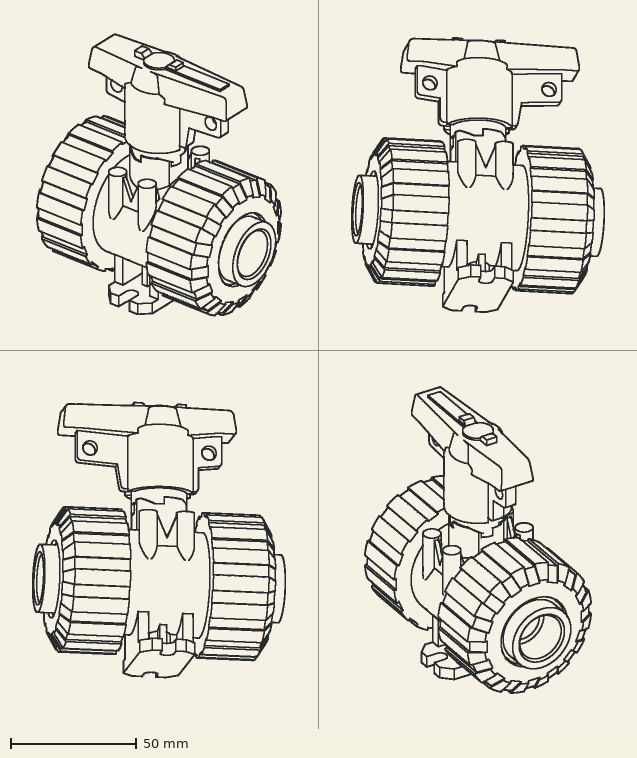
import cadquery as cq
import math


NUT_INNER_X = 16.8
NUT_FACE_X = 43.0
NUT_RADIUS = 29.0
NUT_BEVEL_LENGTH = 3.7
NUT_BEVEL_DEPTH = 5.8
NUT_LIP = 4.2
NUT_HOLE_RADIUS = 15.5
GRIP_COUNT = 16
GRIP_WIDTH = 5.0
GRIP_DEPTH = 1.2

PIPE_END_X = 48.7
PIPE_RADIUS = 13.6
COLLAR_RADIUS = 15.2
COLLAR_RECESS = 1.6
FLANGE_THICKNESS = 4.2
SOCKET_RADIUS = 9.7
SOCKET_CHAMFER = 1.0
BORE_RADIUS = 7.5

LIP_X = NUT_FACE_X - NUT_LIP
BODY_END_X = LIP_X - FLANGE_THICKNESS

BODY_RADIUS = 21.0
NECK_RADIUS = 11.7
NECK_HALF_FLAT = 10.1
TOOTH_TOP_Z = 32.8
TOOTH_ROOT_Z = 29.9
TOOTH_ROOT_LENGTH = 3.5
TOOTH_RAMP_END = 8.8
TOOTH_COUNT = 4

POST_X = 7.5
POST_Y = 16.9
POST_RADIUS = 3.6
POST_TOP_Z = 25.1
WALL_THICKNESS = 1.9
NOTCH_BOTTOM_Z = 14.4
NOTCH_HALF_WIDTH = 4.5
GUSSET_REACH = 5.9
GUSSET_LEAN = 20.0
GUSSET_TOP_Z = 23.4

BASE_Z = -32.9
FOOT_THICKNESS = 4.9
FOOT_HALF_Y = 22.2
FOOT_HALF_X = 11.1
FOOT_CHAMFER = 4.2
BOLT_SLOT_RADIUS = 2.8
BOLT_SLOT_Y = 17.5
LEG_THICKNESS = 4.2
LEG_HALF_Y = 14.3
BOSS_RADIUS = 4.5
RIB_WIDTH = 2.8
RIB_HALF_Y = 9.0

STEM_RADIUS = 11.1
STEM_TAB_Z = 28.5
STEM_STEP_Z = 31.9
STEM_TOP_Z = 48.6
SLEEVE_RADIUS = 13.6
SLEEVE_BOTTOM_Z = 36.5
SLEEVE_SHOULDER_Z = 60.0
SLEEVE_SLOT_WIDTH = 6.6
SHOULDER_TOP_RADIUS = 12.7
SHOULDER_TOP_Z = 61.8
DOME_BASE_RADIUS = 11.5
DOME_BASE_Z = 62.5
DOME_TOP_RADIUS = 9.9
DOME_ROUND = 1.5

BAR_LEFT_X = -29.9
BAR_RIGHT_X = 39.8
BAR_END_SLACK = 0.5
BAR_TOP_Z = 70.7
BAR_END_Z = 60.7
BAR_BOTTOM_Z = 59.1
BAR_LEFT_HALF_Y = 7.9
BAR_MIDDLE_HALF_Y = 9.9
BAR_RIGHT_HALF_Y = 7.0
BAR_DRAFT = 8.0
BAR_LEFT_ROUND = 2.2
BAR_RIGHT_ROUND = 1.6
BAR_LOW_ROUND = 1.0
BAR_HUB_HALF_X = 10.5
BAR_FLAT_LEFT_X = -22.8

WEB_WIDTH = 4.8
WEB_LEFT_X = -25.1
WEB_RIGHT_X = 33.5
WEB_LOW_Z = 37.7
WEB_LEG_X = 15.6
WEB_LEG_RIGHT_X = 17.3
WEB_INNER_Z = 47.7
WEB_OUTER_Z = 48.7
WEB_ROUND = 1.6
EYE_RADIUS = 2.9
EYE_INSET = 5.2
EYE_Z = 53.8

CAP_RADIUS = 6.2
CAP_TOP_Z = 71.6
LUG_TOP_Z = 73.3
LUG_TOP_INNER_X = 7.1
LUG_INNER_X = 5.4
STRIP_WIDTH = 5.7


def x_cylinder(radius, x_start, x_end):
    return cq.Workplane("YZ").workplane(offset=x_start).circle(radius).extrude(x_end - x_start)


def z_cylinder(radius, z_bottom, z_top, x=0, y=0):
    return cq.Workplane("XY").workplane(offset=z_bottom).center(x, y).circle(radius).extrude(z_top - z_bottom)


def block(x_range, y_range, z_range):
    size = [end - start for start, end in (x_range, y_range, z_range)]
    corner = (x_range[0], y_range[0], z_range[0])
    return cq.Workplane("XY").box(*size, centered=False).translate(corner)


def plate_along_y(points, width):
    return cq.Workplane("XZ").polyline(points).close().extrude(width / 2, both=True)


def make_nut():
    """Union nut on the +X end: bevelled ring with flat-bottomed grip grooves."""
    bevel_x = NUT_FACE_X - NUT_BEVEL_LENGTH
    face_radius = NUT_RADIUS - NUT_BEVEL_DEPTH
    profile = [
        (NUT_INNER_X, BODY_RADIUS), (NUT_INNER_X, NUT_RADIUS), (bevel_x, NUT_RADIUS),
        (NUT_FACE_X, face_radius), (NUT_FACE_X, NUT_HOLE_RADIUS),
        (LIP_X, NUT_HOLE_RADIUS), (LIP_X, BODY_RADIUS),
    ]
    nut = cq.Workplane("XZ").polyline(profile).close().revolve(360, (0, 0, 0), (1, 0, 0))
    outside = NUT_RADIUS + GRIP_DEPTH
    groove_profile = [
        (NUT_INNER_X, outside), (NUT_INNER_X, NUT_RADIUS - GRIP_DEPTH),
        (bevel_x, NUT_RADIUS - GRIP_DEPTH), (NUT_FACE_X, face_radius - GRIP_DEPTH),
        (NUT_FACE_X, outside),
    ]
    groove = plate_along_y(groove_profile, GRIP_WIDTH)
    for i in range(GRIP_COUNT):
        nut = nut.cut(groove.rotate((0, 0, 0), (1, 0, 0), i * 360 / GRIP_COUNT))
    return nut


def make_connector():
    """Pipe connector on the +X end: flange held by the nut lip, bored through as a pipe socket."""
    collar_x = NUT_FACE_X - COLLAR_RECESS
    profile = [
        (BODY_END_X, SOCKET_RADIUS), (BODY_END_X, BODY_RADIUS), (LIP_X, BODY_RADIUS),
        (LIP_X, COLLAR_RADIUS), (collar_x, COLLAR_RADIUS), (collar_x, PIPE_RADIUS),
        (PIPE_END_X, PIPE_RADIUS), (PIPE_END_X, SOCKET_RADIUS + SOCKET_CHAMFER),
        (PIPE_END_X - SOCKET_CHAMFER, SOCKET_RADIUS),
    ]
    return cq.Workplane("XZ").polyline(profile).close().revolve(360, (0, 0, 0), (1, 0, 0))


def make_neck():
    """Flat-sided neck whose top edge is a ring of stop teeth."""
    neck = z_cylinder(NECK_RADIUS, 0, TOOTH_TOP_Z)
    tooth_gap = (
        cq.Workplane("XZ")
        .polyline([(0, TOOTH_TOP_Z), (0, TOOTH_ROOT_Z), (-TOOTH_ROOT_LENGTH, TOOTH_ROOT_Z),
                   (-TOOTH_RAMP_END, TOOTH_TOP_Z)])
        .close()
        .extrude(NECK_RADIUS)
    )
    for i in range(TOOTH_COUNT):
        neck = neck.cut(tooth_gap.rotate((0, 0, 0), (0, 0, 1), i * 360 / TOOTH_COUNT))
    flats = block((-NECK_HALF_FLAT, NECK_HALF_FLAT), (-NECK_RADIUS, NECK_RADIUS), (0, TOOTH_TOP_Z))
    return neck.intersect(flats)


def make_post_group():
    """Two posts on the -Y side, the notched wall between them and their gussets."""
    group = block(
        (-POST_X, POST_X),
        (-POST_Y - WALL_THICKNESS / 2, -POST_Y + WALL_THICKNESS / 2),
        (0, POST_TOP_Z),
    )
    notch_side = [(-NOTCH_HALF_WIDTH, POST_TOP_Z), (0, NOTCH_BOTTOM_Z), (NOTCH_HALF_WIDTH, POST_TOP_Z)]
    group = group.cut(plate_along_y(notch_side, 2 * BODY_RADIUS))
    gusset = (
        cq.Workplane("YZ")
        .polyline([(0, 0), (0, GUSSET_TOP_Z), (POST_RADIUS, GUSSET_TOP_Z),
                   (GUSSET_REACH, NOTCH_BOTTOM_Z), (GUSSET_REACH, 0)])
        .close()
        .extrude(WALL_THICKNESS / 2, both=True)
    )
    for side in (-1, 1):
        leaning = gusset.rotate((0, 0, 0), (0, 0, 1), -side * GUSSET_LEAN)
        group = group.union(leaning.translate((side * POST_X, -POST_Y, 0)))
        group = group.union(z_cylinder(POST_RADIUS, 0, POST_TOP_Z, side * POST_X, -POST_Y))
    return group


def make_foot():
    """Mounting plate with open bolt slots, joined to the barrel by legs, a boss and ribs."""
    plate_top_z = BASE_Z + FOOT_THICKNESS
    foot = block((-FOOT_HALF_X, FOOT_HALF_X), (-FOOT_HALF_Y, FOOT_HALF_Y), (BASE_Z, plate_top_z))
    foot = foot.edges("|Z").chamfer(FOOT_CHAMFER)
    for side in (-1, 1):
        slot_y = side * BOLT_SLOT_Y
        slot_range = sorted((slot_y, side * FOOT_HALF_Y))
        foot = foot.cut(z_cylinder(BOLT_SLOT_RADIUS, BASE_Z, plate_top_z, 0, slot_y))
        foot = foot.cut(block((-BOLT_SLOT_RADIUS, BOLT_SLOT_RADIUS), slot_range, (BASE_Z, plate_top_z)))
        leg_range = sorted((side * FOOT_HALF_X, side * (FOOT_HALF_X - LEG_THICKNESS)))
        foot = foot.union(block(leg_range, (-LEG_HALF_Y, LEG_HALF_Y), (plate_top_z, 0)))
    foot = foot.union(z_cylinder(BOSS_RADIUS, plate_top_z, 0))
    foot = foot.union(block((-RIB_WIDTH / 2, RIB_WIDTH / 2), (-RIB_HALF_Y, RIB_HALF_Y), (plate_top_z, 0)))
    cross_rib = block((-FOOT_HALF_X, FOOT_HALF_X), (-RIB_WIDTH / 2, RIB_WIDTH / 2), (plate_top_z, 0))
    return foot.union(cross_rib)


def make_housing(neck):
    housing = x_cylinder(BODY_RADIUS, -BODY_END_X, BODY_END_X).union(neck)
    posts = make_post_group()
    housing = housing.union(posts).union(posts.mirror("XZ"))
    housing = housing.union(make_foot())
    return housing.cut(x_cylinder(BORE_RADIUS, -BODY_END_X, BODY_END_X))


def make_stem(neck):
    """Stem that sits on the neck teeth, with two stop tabs hanging beside the neck flats."""
    stem = z_cylinder(STEM_RADIUS, STEM_TAB_Z, STEM_TOP_Z).cut(neck)
    for side in (-1, 1):
        beside_flat = sorted((side * NECK_HALF_FLAT, side * STEM_RADIUS))
        half_width = sorted((0, side * STEM_RADIUS))
        stem = stem.cut(block(beside_flat, half_width, (STEM_TAB_Z, STEM_STEP_Z)))
    return stem


def make_sleeve():
    """Sleeve with a rounded shoulder and a conical dome, slotted along X."""
    diagonal = math.sqrt(0.5)
    shoulder_width = SLEEVE_RADIUS - SHOULDER_TOP_RADIUS
    shoulder_height = SHOULDER_TOP_Z - SLEEVE_SHOULDER_Z
    shoulder_middle = (SHOULDER_TOP_RADIUS + shoulder_width * diagonal,
                       SLEEVE_SHOULDER_Z + shoulder_height * diagonal)
    dome_round_z = BAR_TOP_Z - DOME_ROUND
    dome_flat_radius = DOME_TOP_RADIUS - DOME_ROUND
    dome_middle = (dome_flat_radius + DOME_ROUND * diagonal, dome_round_z + DOME_ROUND * diagonal)
    sleeve = (
        cq.Workplane("XZ")
        .moveTo(0, SLEEVE_BOTTOM_Z)
        .lineTo(SLEEVE_RADIUS, SLEEVE_BOTTOM_Z)
        .lineTo(SLEEVE_RADIUS, SLEEVE_SHOULDER_Z)
        .threePointArc(shoulder_middle, (SHOULDER_TOP_RADIUS, SHOULDER_TOP_Z))
        .lineTo(DOME_BASE_RADIUS, DOME_BASE_Z)
        .lineTo(DOME_TOP_RADIUS, dome_round_z)
        .threePointArc(dome_middle, (dome_flat_radius, BAR_TOP_Z))
        .lineTo(0, BAR_TOP_Z)
        .close()
        .revolve(360, (0, 0, 0), (0, 1, 0))
    )
    slot = block(
        (-SLEEVE_RADIUS, SLEEVE_RADIUS),
        (-SLEEVE_SLOT_WIDTH / 2, SLEEVE_SLOT_WIDTH / 2),
        (SLEEVE_BOTTOM_Z, BAR_END_Z),
    )
    return sleeve.cut(slot)


def make_bar():
    """Grip bar, widest at the hub, with drafted sides, rounded top ends and a sagging underside."""
    plan_left_x = BAR_LEFT_X - BAR_END_SLACK
    plan_right_x = BAR_RIGHT_X + BAR_END_SLACK
    plan = [
        (plan_left_x, -BAR_LEFT_HALF_Y), (0, -BAR_MIDDLE_HALF_Y), (plan_right_x, -BAR_RIGHT_HALF_Y),
        (plan_right_x, BAR_RIGHT_HALF_Y), (0, BAR_MIDDLE_HALF_Y), (plan_left_x, BAR_LEFT_HALF_Y),
    ]
    height = BAR_TOP_Z - BAR_BOTTOM_Z
    bar = (
        cq.Workplane("XY").workplane(offset=BAR_BOTTOM_Z).polyline(plan).close()
        .extrude(height, taper=BAR_DRAFT)
    )
    bar = bar.faces(">Z").edges("<X").fillet(BAR_LEFT_ROUND)
    bar = bar.faces(">Z").edges(">X").fillet(BAR_RIGHT_ROUND)
    side_outline = [
        (BAR_LEFT_X, LUG_TOP_Z), (BAR_LEFT_X, BAR_END_Z), (BAR_FLAT_LEFT_X, BAR_END_Z),
        (-BAR_HUB_HALF_X, BAR_BOTTOM_Z), (BAR_HUB_HALF_X, BAR_BOTTOM_Z),
        (WEB_RIGHT_X, BAR_END_Z), (BAR_RIGHT_X, BAR_END_Z), (BAR_RIGHT_X, LUG_TOP_Z),
    ]
    envelope = plate_along_y(side_outline, 2 * BAR_MIDDLE_HALF_Y)
    envelope = envelope.edges("|Y").edges("<X or >X").fillet(BAR_LOW_ROUND)
    return bar.intersect(envelope)


def make_hanging_web():
    """Thin web under the bar, running through the sleeve slot, with a padlock eye at each end."""
    outline = [
        (WEB_LEFT_X, DOME_BASE_Z), (WEB_LEFT_X, WEB_OUTER_Z), (-WEB_LEG_X, WEB_INNER_Z),
        (-WEB_LEG_X, WEB_LOW_Z), (WEB_LEG_X, WEB_LOW_Z), (WEB_LEG_RIGHT_X, WEB_INNER_Z),
        (WEB_RIGHT_X, WEB_OUTER_Z), (WEB_RIGHT_X, DOME_BASE_Z),
    ]
    web = plate_along_y(outline, WEB_WIDTH)
    middle_z = (WEB_INNER_Z + WEB_OUTER_Z) / 2
    rounded_corners = cq.selectors.BoxSelector(
        (WEB_LEFT_X - WEB_ROUND, -WEB_WIDTH, middle_z),
        (WEB_RIGHT_X + WEB_ROUND, WEB_WIDTH, WEB_OUTER_Z + WEB_ROUND),
    )
    web = web.edges("|Y").edges(rounded_corners).fillet(WEB_ROUND)
    web = web.faces("<Z").edges("|Y").fillet(WEB_ROUND)
    eye_places = [(WEB_LEFT_X + EYE_INSET, EYE_Z), (WEB_RIGHT_X - EYE_INSET, EYE_Z)]
    eyes = cq.Workplane("XZ").pushPoints(eye_places).circle(EYE_RADIUS).extrude(WEB_WIDTH, both=True)
    return web.cut(eyes)


def make_top_marks():
    """Round cap with a lug on each side and a raised strip towards the long end of the bar."""
    marks = z_cylinder(CAP_RADIUS, BAR_TOP_Z, CAP_TOP_Z)
    lug_outline = [
        (LUG_INNER_X, BAR_TOP_Z), (LUG_INNER_X, CAP_TOP_Z), (LUG_TOP_INNER_X, LUG_TOP_Z),
        (BAR_HUB_HALF_X, LUG_TOP_Z), (BAR_HUB_HALF_X, BAR_TOP_Z),
    ]
    lug = plate_along_y(lug_outline, WEB_WIDTH)
    strip = block((0, WEB_RIGHT_X), (-STRIP_WIDTH / 2, STRIP_WIDTH / 2), (BAR_TOP_Z, CAP_TOP_Z))
    return marks.union(lug).union(lug.mirror("YZ")).union(strip)


def make_handle(neck):
    handle = make_sleeve().union(make_bar()).union(make_stem(neck))
    return handle.union(make_hanging_web()).union(make_top_marks())


neck = make_neck()
housing = make_housing(neck)
handle = make_handle(neck)

end_parts = []
for turn in (0, 180):
    for part in (make_nut(), make_connector()):
        end_parts.append(part.rotate((0, 0, 0), (0, 0, 1), turn).val())

result = cq.Compound.makeCompound([housing.val(), handle.val(), *end_parts])